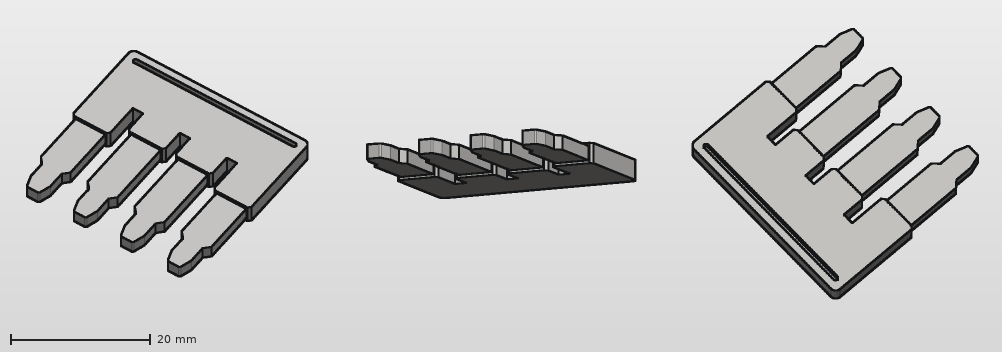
import cadquery as cq

WIDTH = 31.1
LENGTH = 29.7
THICKNESS = 3.0

PIN_COUNT = 4
SLEEVE_WIDTH = 6.47
PITCH = (WIDTH - SLEEVE_WIDTH) / (PIN_COUNT - 1)
BRIDGE_LENGTH = 9.15
OUTER_SLEEVE_END = 15.18
INNER_SLEEVE_END = 13.05
SLEEVE_CHAMFER = 0.45
BACK_CORNER_RADIUS = 0.93

GROOVE_LENGTH = 28.43
GROOVE_WIDTH = 0.75
GROOVE_CENTER = 1.62
GROOVE_DEPTH = 1.0

PIN_THICKNESS = 2.1
PIN_WIDTH = 5.22
NECK_WIDTH = 3.42
TIP_WIDTH = 2.15
SHOULDER_START = 5.8
NECK_START = 4.85
TAPER_START = 2.0
TIP_RADIUS = 0.28


def plate(x_center, y_back, y_front, width):
    """Full-thickness rectangular block running forward from y_back to y_front."""
    length = y_front - y_back
    return cq.Workplane("XY").box(width, length, THICKNESS).translate((x_center, -(y_back + y_front) / 2, 0))


def sleeve(x_center, end):
    block = plate(x_center, BRIDGE_LENGTH / 2, end, SLEEVE_WIDTH)
    return block.edges("|Z and <Y").chamfer(SLEEVE_CHAMFER)


def pin(x_center, y_root):
    """Stepped pin with a tapered tip, starting where its sleeve ends."""
    right_side = [
        (PIN_WIDTH / 2, -y_root),
        (PIN_WIDTH / 2, SHOULDER_START - LENGTH),
        (NECK_WIDTH / 2, NECK_START - LENGTH),
        (NECK_WIDTH / 2, TAPER_START - LENGTH),
        (TIP_WIDTH / 2, -LENGTH),
    ]
    left_side = [(-x, y) for x, y in reversed(right_side)]
    blade = cq.Workplane("XY").polyline(right_side + left_side).close().extrude(PIN_THICKNESS / 2, both=True)
    return blade.edges("|Z and <Y").fillet(TIP_RADIUS).translate((x_center, 0, 0))


def marking_groove():
    return (
        cq.Workplane("XY", origin=(0, -GROOVE_CENTER, THICKNESS / 2))
        .slot2D(GROOVE_LENGTH, GROOVE_WIDTH)
        .extrude(-GROOVE_DEPTH)
    )


result = plate(0, 0, BRIDGE_LENGTH, WIDTH).edges("|Z and >Y").fillet(BACK_CORNER_RADIUS)
for index in range(PIN_COUNT):
    pin_x = (index - (PIN_COUNT - 1) / 2) * PITCH
    is_outer = index in (0, PIN_COUNT - 1)
    sleeve_end = OUTER_SLEEVE_END if is_outer else INNER_SLEEVE_END
    result = result.union(sleeve(pin_x, sleeve_end)).union(pin(pin_x, sleeve_end))
result = result.cut(marking_groove()).clean()